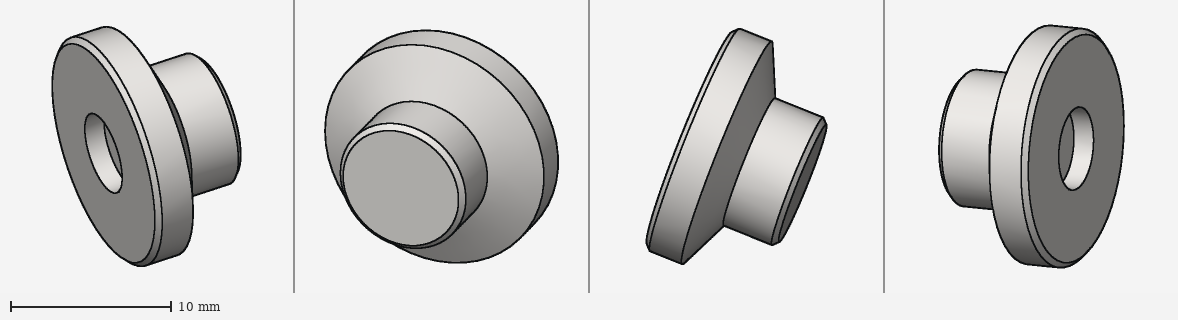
import cadquery as cq

flange_diameter = 15
flange_thickness = 2.5
hub_diameter = 8.6
cone_end = 4.0
total_length = 7.6
edge_chamfer = 0.35
recess_diameter = 5.2
recess_depth = 1.35

flange_radius = flange_diameter / 2
hub_radius = hub_diameter / 2

half_section = [
    (0, 0),
    (flange_radius - edge_chamfer, 0),
    (flange_radius, edge_chamfer),
    (flange_radius, flange_thickness),
    (hub_radius, cone_end),
    (hub_radius, total_length - edge_chamfer),
    (hub_radius - edge_chamfer, total_length),
    (0, total_length),
]
body = cq.Workplane("XY").polyline(half_section).close().revolve(360, (0, 0), (0, 1))

recess = (
    cq.Workplane("XZ")
    .circle(recess_diameter / 2)
    .extrude(-recess_depth)
)

result = body.cut(recess)